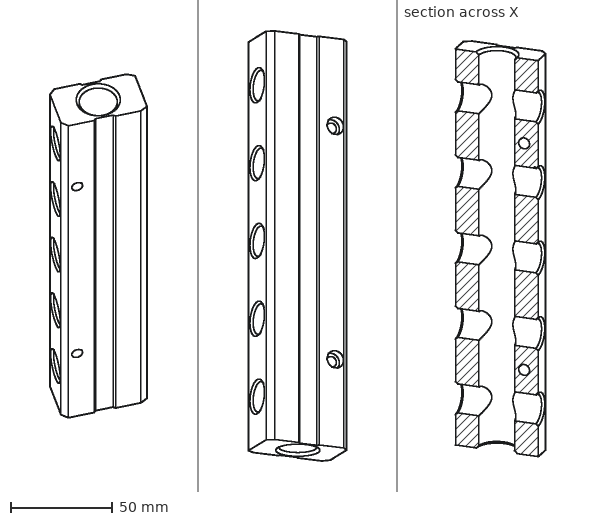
import cadquery as cq
import math

width = 26.0
depth = 44.0
height = 210.0

front_chamfer = 3.0
back_chamfer_y = 3.8
back_chamfer_angle = 30.0
back_chamfer_x = back_chamfer_y * math.tan(math.radians(back_chamfer_angle))

groove_depth = 1.0
groove_y = -0.3
groove_mouth = 11.0
groove_floor = groove_mouth - 2 * groove_depth

bore_diameter = 18.8
bore_mouth_diameter = 21.8

port_diameter = 15.1
port_mouth_diameter = 17.5
port_count = 5
port_pitch = 40.0

mount_diameter = 5.5
mount_head_diameter = 8.8
mount_head_depth = 5.0
mount_y = -14.5
mount_count = 2
mount_pitch = 120.0


def bar_body():
    """Extruded bar section: chamfered corners and a groove in each side."""
    half_width = width / 2
    half_depth = depth / 2
    floor_x = half_width - groove_depth
    right_side = [
        (half_width - front_chamfer, -half_depth),
        (half_width, -half_depth + front_chamfer),
        (half_width, groove_y - groove_mouth / 2),
        (floor_x, groove_y - groove_floor / 2),
        (floor_x, groove_y + groove_floor / 2),
        (half_width, groove_y + groove_mouth / 2),
        (half_width, half_depth - back_chamfer_y),
        (half_width - back_chamfer_x, half_depth),
    ]
    left_side = [(-x, y) for x, y in reversed(right_side)]
    return cq.Workplane("XY").polyline(right_side + left_side).close().extrude(height)


def drill(start, direction, diameter, length):
    """Cylindrical cutter running from a start point along a direction."""
    cylinder = cq.Solid.makeCylinder(diameter / 2, length, cq.Vector(*start), cq.Vector(*direction))
    return cq.Workplane(cylinder)


def through_hole(start, direction, diameter, mouth_diameter, length):
    """Cutter for a through hole with a 45 degree chamfer at both ends."""
    entry = cq.Vector(*start)
    axis = cq.Vector(*direction)
    chamfer = (mouth_diameter - diameter) / 2
    cutter = drill(start, direction, diameter, length)
    for mouth, inward in ((entry, axis), (entry + axis * length, axis * -1)):
        cone = cq.Solid.makeCone(mouth_diameter / 2, diameter / 2, chamfer, mouth, inward)
        cutter = cutter.union(cq.Workplane(cone))
    return cutter


def centred_heights(count, pitch):
    """Evenly spaced Z levels about mid-height."""
    return [height / 2 + (i - (count - 1) / 2) * pitch for i in range(count)]


X_AXIS = (1, 0, 0)
Y_AXIS = (0, 1, 0)
Z_AXIS = (0, 0, 1)

result = bar_body()

result = result.cut(through_hole((0, 0, 0), Z_AXIS, bore_diameter, bore_mouth_diameter, height))

for z in centred_heights(port_count, port_pitch):
    port_start = (0, -depth / 2, z)
    result = result.cut(through_hole(port_start, Y_AXIS, port_diameter, port_mouth_diameter, depth))

for z in centred_heights(mount_count, mount_pitch):
    mount_start = (-width / 2, mount_y, z)
    result = result.cut(drill(mount_start, X_AXIS, mount_diameter, width))
    result = result.cut(drill(mount_start, X_AXIS, mount_head_diameter, mount_head_depth))